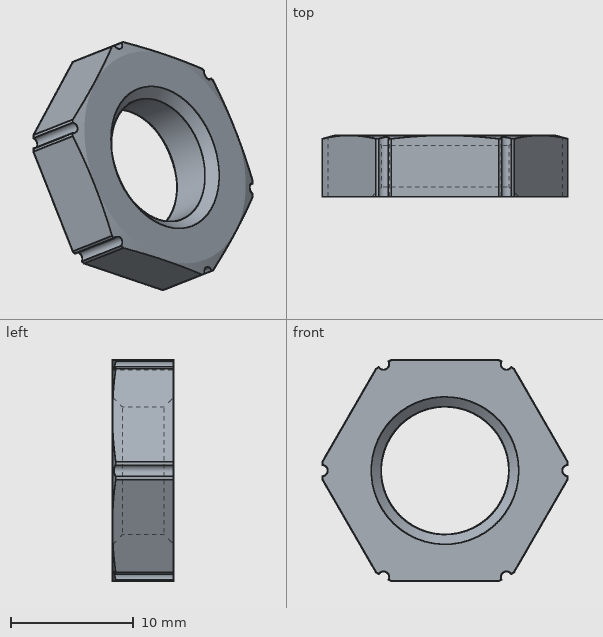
import cadquery as cq
import math

ACROSS_FLATS = 18.0
THICKNESS = 5.0
TURNED_DIAMETER = 20.0

BORE_DIAMETER = 10.376
COUNTERSINK_DIAMETER = 12.0
COUNTERSINK_ANGLE = 45.0

CROWN_DIAMETER = 17.9
CROWN_ANGLE = 15.0

SIDES = 6
GROOVE_RADIUS = 0.45

FRONT_Y = -THICKNESS / 2
BACK_Y = THICKNESS / 2


def crowned_blank():
    """Turned disc whose rim slopes down from the +Y face."""
    rim_radius = TURNED_DIAMETER / 2
    crown_radius = CROWN_DIAMETER / 2
    crown_depth = (rim_radius - crown_radius) * math.tan(math.radians(CROWN_ANGLE))
    return (
        cq.Workplane("XY")
        .moveTo(0, FRONT_Y)
        .lineTo(rim_radius, FRONT_Y)
        .lineTo(rim_radius, BACK_Y - crown_depth)
        .lineTo(crown_radius, BACK_Y)
        .lineTo(0, BACK_Y)
        .close()
        .revolve(360, (0, 0, 0), (0, 1, 0))
    )


def hexagon_prism():
    """Hexagonal bar with two corners on the X axis."""
    across_corners = ACROSS_FLATS / math.cos(math.pi / SIDES)
    return (
        cq.Workplane("XZ", origin=(0, BACK_Y, 0))
        .polygon(SIDES, across_corners)
        .extrude(THICKNESS)
    )


def corner_grooves():
    """Round bars centred on the turned rim, one at each corner."""
    return (
        cq.Workplane("XZ", origin=(0, BACK_Y, 0))
        .polarArray(TURNED_DIAMETER / 2, 0, 360, SIDES)
        .circle(GROOVE_RADIUS)
        .extrude(THICKNESS)
    )


def countersunk_bore():
    """Through bore that widens to the countersink diameter at both faces."""
    bore_radius = BORE_DIAMETER / 2
    mouth_radius = COUNTERSINK_DIAMETER / 2
    sink_depth = (mouth_radius - bore_radius) / math.tan(math.radians(COUNTERSINK_ANGLE))
    return (
        cq.Workplane("XY")
        .moveTo(0, FRONT_Y)
        .lineTo(mouth_radius, FRONT_Y)
        .lineTo(bore_radius, FRONT_Y + sink_depth)
        .lineTo(bore_radius, BACK_Y - sink_depth)
        .lineTo(mouth_radius, BACK_Y)
        .lineTo(0, BACK_Y)
        .close()
        .revolve(360, (0, 0, 0), (0, 1, 0))
    )


result = (
    crowned_blank()
    .intersect(hexagon_prism())
    .cut(corner_grooves())
    .cut(countersunk_bore())
)